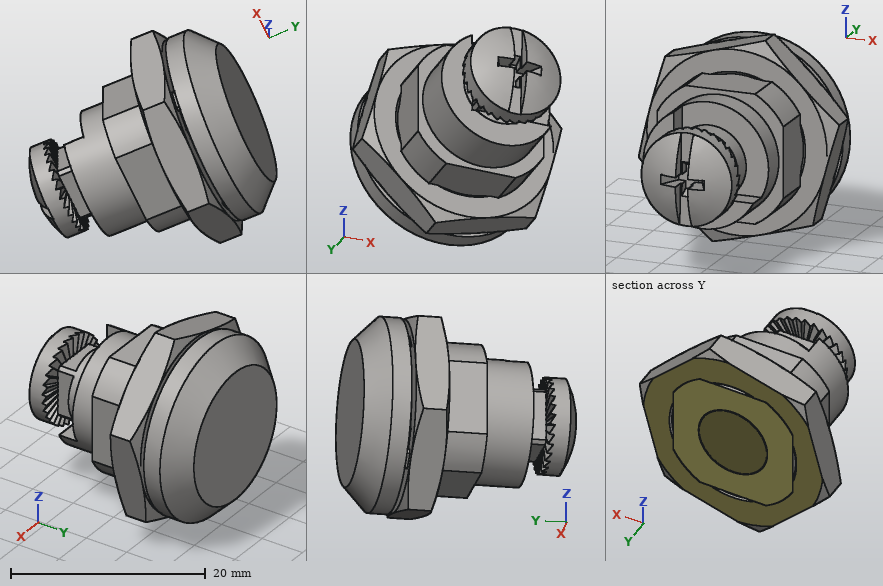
import cadquery as cq
import math


OVERALL_LENGTH = 23.45

BEZEL_RADIUS = 10.13
BEZEL_THICKNESS = 4.5
BEZEL_CHAMFER = 2.5
BARREL_RADIUS = 8.0
BARREL_ACROSS_FLATS = 14.0
BARREL_END = 8.5
NECK_RADIUS = 6.5
NECK_STEP = 11.25
NECK_END = 13.47
STOP_OFFSET = 3.1

NUT_ACROSS_FLATS = 19.99
NUT_TURN = 15.3
NUT_START = 0.5
NUT_THICKNESS = 3.5
NUT_BORE_RADIUS = 7.25
NUT_BORE_CHAMFER = 0.35
NUT_CORNER_DROP = 0.55

LOCK_TOOTH_COUNT = 4
LOCK_TOOTH_INNER_RADIUS = 8.75
LOCK_TOOTH_OUTER_RADIUS = 9.05
LOCK_TOOTH_STEEP_X = 6.47
LOCK_TOOTH_CREST_X = 5.23
LOCK_TOOTH_TIP_X = 5.05
LOCK_TOOTH_HEIGHT = 0.28

SHAFT_RADIUS = 3.99
SHAFT_CLEARANCE = 0.02
SHAFT_SQUARE = 6.03
SHAFT_INNER_END = 0.0
SHAFT_END = 15.41

HEAD_RADIUS = 5.02
HEAD_START = 15.48
HEAD_RIM_END = 17.62
HEAD_END = OVERALL_LENGTH - BEZEL_THICKNESS
DRIVE_TURN = 1.1
SLOT_WIDTH = 1.35
SLOT_FLOOR = 17.55
CROSS_WIDTH = 1.03
DRIVE_TOP = 19.0
CROSS_TOP_REACH = 2.58
CROSS_FLOOR_REACH = 1.31
CROSS_FLOOR = 16.5
SERRATION_COUNT = 30
SERRATION_DEPTH = 0.55
SERRATION_STEEP_ANGLE = 1.0
SERRATION_LAND_ANGLE = 0.4

AXIS_START = (0, 0, 0)
AXIS_END = (0, 1, 0)


def plane_at(depth):
    """Workplane across the axis; its normal points toward -Y, its second axis to +Z."""
    return cq.Workplane("XZ", origin=(0, -depth, 0))


def disc(radius, start, end):
    return plane_at(start).circle(radius).extrude(end - start)


def flatted_disc(radius, across_flats, start, end):
    """Disc cut by a square of four flats that are parallel to X and Z."""
    square = plane_at(start).rect(across_flats, across_flats).extrude(end - start)
    return disc(radius, start, end).intersect(square)


def revolve(profile):
    """Solid from an outline in the XY plane, turned about the Y axis."""
    return profile.close().revolve(360, AXIS_START, AXIS_END)


def make_barrel():
    return flatted_disc(BARREL_RADIUS, BARREL_ACROSS_FLATS, 0, BARREL_END)


def make_neck():
    """Round neck, stepped back over the range in which the cam may swing."""
    neck = disc(NECK_RADIUS, BARREL_END, NECK_END)
    swing_size = NECK_RADIUS + STOP_OFFSET
    swing_cut = (
        plane_at(NECK_STEP)
        .rect(swing_size, swing_size, centered=False)
        .extrude(NECK_END - NECK_STEP)
        .translate((-STOP_OFFSET, 0, -STOP_OFFSET))
    )
    return neck.cut(swing_cut)


def make_housing():
    bezel = disc(BEZEL_RADIUS, -BEZEL_THICKNESS, 0).faces(">Y").chamfer(BEZEL_CHAMFER)
    bore = disc(SHAFT_RADIUS + SHAFT_CLEARANCE, SHAFT_INNER_END, NECK_END)
    return bezel.union(make_barrel()).union(make_neck()).cut(bore)


def make_lock_teeth():
    """Small ramps in a ring on the nut face, each with one steep end."""
    base = -NUT_START
    top = base + LOCK_TOOTH_HEIGHT
    ring = disc(LOCK_TOOTH_OUTER_RADIUS, -top, NUT_START).cut(
        disc(LOCK_TOOTH_INNER_RADIUS, -top, NUT_START)
    )
    ramp = (
        cq.Workplane("XY")
        .moveTo(LOCK_TOOTH_TIP_X, base)
        .lineTo(LOCK_TOOTH_STEEP_X, base)
        .lineTo(LOCK_TOOTH_STEEP_X, top)
        .lineTo(LOCK_TOOTH_CREST_X, top)
        .close()
        .extrude(LOCK_TOOTH_OUTER_RADIUS)
    )
    tooth = ring.intersect(ramp)
    pitch = 360 / LOCK_TOOTH_COUNT
    return [tooth.rotate(AXIS_START, AXIS_END, i * pitch) for i in range(LOCK_TOOTH_COUNT)]


def make_nut():
    nut_end = NUT_START + NUT_THICKNESS
    face_radius = NUT_ACROSS_FLATS / 2
    corner_radius = face_radius / math.cos(math.radians(30))

    hexagon = (
        plane_at(NUT_START)
        .transformed(rotate=(0, 0, NUT_TURN))
        .polygon(6, 2 * corner_radius)
        .extrude(NUT_THICKNESS)
    )
    corner_cones = revolve(
        cq.Workplane("XY")
        .moveTo(0, -NUT_START)
        .lineTo(face_radius, -NUT_START)
        .lineTo(corner_radius, -NUT_START - NUT_CORNER_DROP)
        .lineTo(corner_radius, -nut_end + NUT_CORNER_DROP)
        .lineTo(face_radius, -nut_end)
        .lineTo(0, -nut_end)
    )
    bore_mouth = NUT_BORE_RADIUS + NUT_BORE_CHAMFER
    bore = revolve(
        cq.Workplane("XY")
        .moveTo(0, -NUT_START)
        .lineTo(bore_mouth, -NUT_START)
        .lineTo(NUT_BORE_RADIUS, -NUT_START - NUT_BORE_CHAMFER)
        .lineTo(NUT_BORE_RADIUS, -nut_end + NUT_BORE_CHAMFER)
        .lineTo(bore_mouth, -nut_end)
        .lineTo(0, -nut_end)
    )
    nut = hexagon.intersect(corner_cones).cut(bore)
    for tooth in make_lock_teeth():
        nut = nut.union(tooth)
    return nut.cut(make_barrel())


def make_shaft():
    round_part = disc(SHAFT_RADIUS, SHAFT_INNER_END, NECK_END)
    square_part = flatted_disc(SHAFT_RADIUS, SHAFT_SQUARE, NECK_END, SHAFT_END)
    return round_part.union(square_part)


def make_serration_cutter():
    """Four-sided wedge with its apex on the axis and its valley line toward +Z."""
    pitch = 360 / SERRATION_COUNT
    ramp_angle = pitch - SERRATION_STEEP_ANGLE - SERRATION_LAND_ANGLE
    overshoot = 1.1
    reach = HEAD_RADIUS * overshoot

    def rim_point(angle, depth):
        turn = math.radians(angle)
        return cq.Vector(reach * math.sin(turn), -HEAD_START - depth, reach * math.cos(turn))

    apex = cq.Vector(0, -HEAD_START, 0)
    steep_crest = rim_point(SERRATION_STEEP_ANGLE, 0)
    valley = rim_point(0, SERRATION_DEPTH * overshoot)
    ramp_crest = rim_point(-ramp_angle, 0)
    triangles = [
        (apex, steep_crest, valley),
        (apex, valley, ramp_crest),
        (apex, ramp_crest, steep_crest),
        (steep_crest, ramp_crest, valley),
    ]
    faces = [cq.Face.makeFromWires(cq.Wire.makePolygon(t, close=True)) for t in triangles]
    return cq.Solid.makeSolid(cq.Shell.makeShell(faces))


def make_cross_wing():
    """One bar of the cross recess, along X, narrowing toward its floor."""
    return (
        cq.Workplane("XY")
        .moveTo(-CROSS_TOP_REACH, -DRIVE_TOP)
        .lineTo(CROSS_TOP_REACH, -DRIVE_TOP)
        .lineTo(CROSS_FLOOR_REACH, -CROSS_FLOOR)
        .lineTo(-CROSS_FLOOR_REACH, -CROSS_FLOOR)
        .close()
        .extrude(CROSS_WIDTH / 2, both=True)
    )


def make_screw():
    corner_radius = math.hypot(SLOT_WIDTH, CROSS_WIDTH) / 2
    dome_centre = (HEAD_END**2 + corner_radius**2 - HEAD_RIM_END**2 - HEAD_RADIUS**2) / (
        2 * (HEAD_END - HEAD_RIM_END)
    )

    def dome_depth(radius):
        return dome_centre + math.sqrt(dome_radius**2 - radius**2)

    dome_radius = math.hypot(HEAD_RADIUS, HEAD_RIM_END - dome_centre)
    half_chord = HEAD_RADIUS / 2
    head = revolve(
        cq.Workplane("XY")
        .moveTo(0, -HEAD_START)
        .lineTo(HEAD_RADIUS, -HEAD_START)
        .lineTo(HEAD_RADIUS, -HEAD_RIM_END)
        .threePointArc((half_chord, -dome_depth(half_chord)), (0, -dome_depth(0)))
    )

    slot = plane_at(SLOT_FLOOR).rect(SLOT_WIDTH, 3 * HEAD_RADIUS).extrude(DRIVE_TOP - SLOT_FLOOR)
    wing = make_cross_wing()
    cross = wing.union(wing.rotate(AXIS_START, AXIS_END, 90))
    drive = slot.union(cross).rotate(AXIS_START, AXIS_END, DRIVE_TURN)
    head = head.cut(drive)

    cutter = cq.Workplane(make_serration_cutter())
    pitch = 360 / SERRATION_COUNT
    for i in range(SERRATION_COUNT):
        head = head.cut(cutter.rotate(AXIS_START, AXIS_END, i * pitch))
    return head


housing = make_housing().solids()
nut = make_nut().solids()
shaft = make_shaft().solids()
screw = make_screw().solids()

result = cq.Compound.makeCompound([housing.val(), nut.val(), shaft.val(), screw.val()])